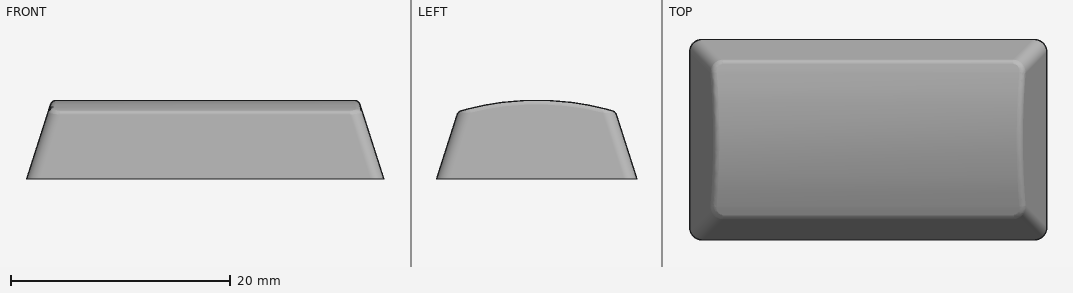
import cadquery as cq
import math

base_length = 32.59
base_width = 18.3
crown_height = 7.2

wall_draft = 17.75
corner_radius = 1.25
crown_radius = 25.0
rim_radius = 0.6


def drafted_block():
    """Rectangular block with inward-leaning walls and rounded corner edges."""
    block = cq.Workplane("XY").rect(base_length, base_width).extrude(crown_height, taper=wall_draft)
    sloping_edges = block.edges("not #Z")
    return sloping_edges.fillet(corner_radius)


def crown_cutter():
    """Volume above the barrel top, spanning the whole block along X."""
    half_width = base_width / 2
    arc_drop = crown_radius - math.sqrt(crown_radius**2 - half_width**2)
    arc_end_height = crown_height - arc_drop
    cutter_top = crown_height + arc_drop
    return (
        cq.Workplane("YZ", origin=(-base_length / 2, 0, 0))
        .moveTo(-half_width, arc_end_height)
        .threePointArc((0, crown_height), (half_width, arc_end_height))
        .lineTo(half_width, cutter_top)
        .lineTo(-half_width, cutter_top)
        .close()
        .extrude(base_length)
    )


def round_rim(body):
    """Fillet the closed loop where the crowned top meets the walls."""
    return body.faces(">Z").edges().fillet(rim_radius)


crowned_block = drafted_block().cut(crown_cutter())
result = round_rim(crowned_block)